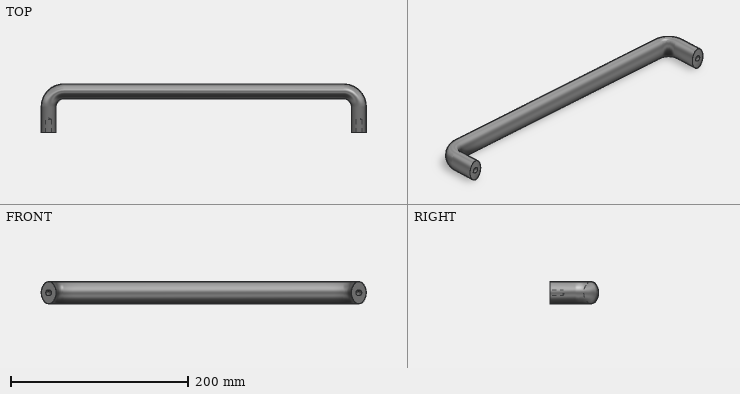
import cadquery as cq
import math

LENGTH = 367.0
PROJECTION = 55.0

SECTION_HEIGHT = 25.0
SECTION_WIDTH = 17.0
TIP_RADIUS = 6.0

OUTER_BEND_RADIUS = 25.7

HOLE_DIAMETER = 6.5
HOLE_DEPTH = 14.5
DRILL_POINT_ANGLE = 118.0

half_width = SECTION_WIDTH / 2
half_height = SECTION_HEIGHT / 2
bend_radius = OUTER_BEND_RADIUS - half_width
leg_x = LENGTH / 2 - half_width
grip_y = PROJECTION - half_width
bend_start_y = grip_y - bend_radius
bend_end_x = leg_x - bend_radius

tip_center_z = half_height - TIP_RADIUS
side_radius = (half_width**2 + tip_center_z**2 - TIP_RADIUS**2) / (2 * (half_width - TIP_RADIUS))
tangent_angle = math.atan2(tip_center_z, side_radius - half_width)
joint_x = TIP_RADIUS * math.cos(tangent_angle)
joint_z = tip_center_z + TIP_RADIUS * math.sin(tangent_angle)


def oval_section():
    """Bar section on the end face of the left leg, at Y = 0."""
    return (
        cq.Workplane("XZ", origin=(-leg_x, 0, 0))
        .moveTo(joint_x, -joint_z)
        .threePointArc((half_width, 0), (joint_x, joint_z))
        .threePointArc((0, half_height), (-joint_x, joint_z))
        .threePointArc((-half_width, 0), (-joint_x, -joint_z))
        .threePointArc((0, -half_height), (joint_x, -joint_z))
        .close()
    )


def center_path():
    """Centre line up the left leg, along the grip and down the right leg."""
    bend_mid_x = bend_end_x + bend_radius * math.sqrt(0.5)
    bend_mid_y = bend_start_y + bend_radius * math.sqrt(0.5)
    return (
        cq.Workplane("XY")
        .moveTo(-leg_x, 0)
        .lineTo(-leg_x, bend_start_y)
        .threePointArc((-bend_mid_x, bend_mid_y), (-bend_end_x, grip_y))
        .lineTo(bend_end_x, grip_y)
        .threePointArc((bend_mid_x, bend_mid_y), (leg_x, bend_start_y))
        .lineTo(leg_x, 0)
    )


def screw_hole(x):
    """Drilled hole running in +Y from the leg end, centred at x."""
    hole_radius = HOLE_DIAMETER / 2
    point_depth = hole_radius / math.tan(math.radians(DRILL_POINT_ANGLE / 2))
    return (
        cq.Workplane("XY", origin=(x, 0, 0))
        .lineTo(hole_radius, 0)
        .lineTo(hole_radius, HOLE_DEPTH)
        .lineTo(0, HOLE_DEPTH + point_depth)
        .close()
        .revolve(360, (0, 0, 0), (0, 1, 0))
    )


result = oval_section().sweep(center_path())
for hole_x in (-leg_x, leg_x):
    result = result.cut(screw_hole(hole_x))

result = result.translate((0, -PROJECTION / 2, 0))